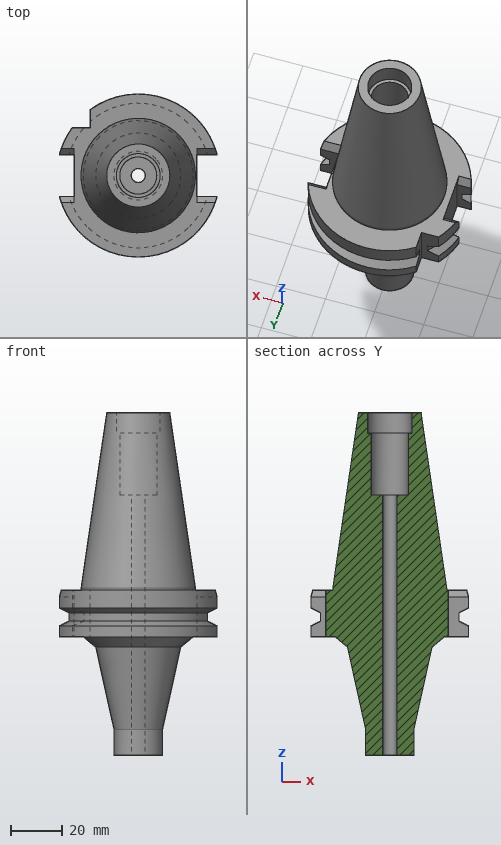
import cadquery as cq

total_height = 133.4
nose_top = 10.1
neck_top = 42.2
flange_bottom = 46.2
flange_top = 64.3
gauge_height = 65.1

nose_radius = 9.5
neck_radius = 16.5
collar_radius = 21.3
flange_radius = 31.7
gauge_radius = 22.3
taper_tip_radius = 12.3

groove_root_radius = 28.1
groove_bottom = 50.4
groove_top = 57.4
groove_flank_height = 1.9

slot_width = 16.1
slot_floor_left = 25.0
slot_floor_right = 22.8
slot_chamfer_width = 2.4
slot_chamfer_height = 2.7

notch_x = 18.7
notch_y = 18.7

mouth_radius = 8.5
mouth_depth = 8.0
bore_radius = 7.2
bore_depth = 32.0
coolant_radius = 2.7


def turned_body():
    outline = [
        (0, 0),
        (nose_radius, 0),
        (nose_radius, nose_top),
        (neck_radius, neck_top),
        (collar_radius, flange_bottom),
        (flange_radius, flange_bottom),
        (flange_radius, groove_bottom),
        (groove_root_radius, groove_bottom + groove_flank_height),
        (groove_root_radius, groove_top - groove_flank_height),
        (flange_radius, groove_top),
        (flange_radius, flange_top),
        (gauge_radius, flange_top),
        (gauge_radius, gauge_height),
        (taper_tip_radius, total_height),
        (0, total_height),
    ]
    return cq.Workplane("XZ").polyline(outline).close().revolve(360, (0, 0), (0, 1))


def drive_slot(side, floor):
    """Slot cutter on the -X (side=-1) or +X (side=1) flank, flared at the flange top."""
    half = slot_width / 2
    flared_half = half + slot_chamfer_width
    flare_start = flange_top - slot_chamfer_height
    section = [
        (-half, flange_bottom),
        (half, flange_bottom),
        (half, flare_start),
        (flared_half, flange_top),
        (-flared_half, flange_top),
        (-half, flare_start),
    ]
    return (
        cq.Workplane("YZ", origin=(side * floor, 0, 0))
        .polyline(section)
        .close()
        .extrude(side * flange_radius)
    )


def orientation_notch():
    return (
        cq.Workplane("XY")
        .box(flange_radius, flange_radius, flange_top - flange_bottom, centered=False)
        .translate((-notch_x - flange_radius, notch_y, flange_bottom))
    )


def top_bore(radius, depth):
    return cq.Workplane("XY", origin=(0, 0, total_height - depth)).circle(radius).extrude(depth)


result = (
    turned_body()
    .cut(drive_slot(-1, slot_floor_left))
    .cut(drive_slot(1, slot_floor_right))
    .cut(orientation_notch())
    .cut(top_bore(mouth_radius, mouth_depth))
    .cut(top_bore(bore_radius, bore_depth))
    .cut(top_bore(coolant_radius, total_height))
)